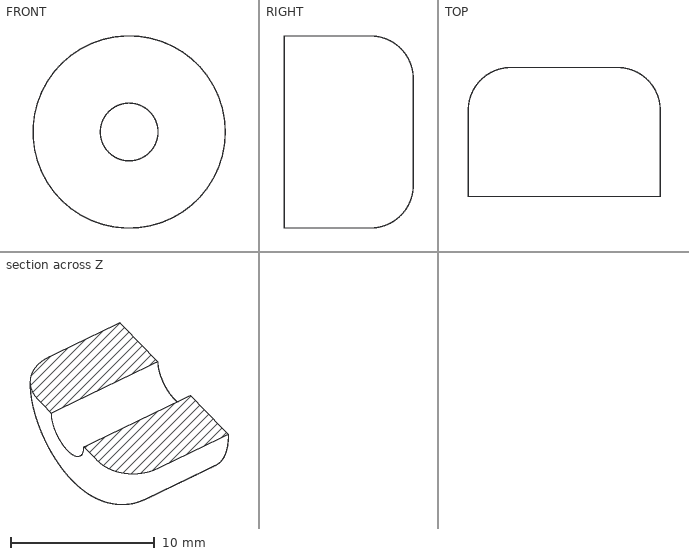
import cadquery as cq

outer_diameter = 13.4
length = 9.0
bore_diameter = 4.0
flat_end_diameter = 7.4
rounding_radius = (outer_diameter - flat_end_diameter) / 2

body = cq.Workplane("XZ").circle(outer_diameter / 2).extrude(-length)
rounded_body = body.faces(">Y").edges().fillet(rounding_radius)

bore = cq.Workplane("XZ").circle(bore_diameter / 2).extrude(-length)
result = rounded_body.cut(bore)